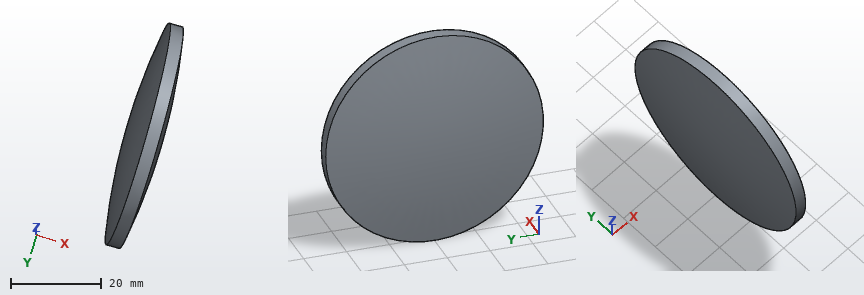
import cadquery as cq

diameter = 50.8
center_thickness = 7.8
edge_thickness = 3.0

rim_radius = diameter / 2
half_center = center_thickness / 2
half_edge = edge_thickness / 2
sag = half_center - half_edge
surface_radius = (rim_radius**2 + sag**2) / (2 * sag)


def spherical_face_point(height):
    """Point on the +X spherical face at the given distance from the axis."""
    sphere_center_x = half_center - surface_radius
    x = sphere_center_x + (surface_radius**2 - height**2) ** 0.5
    return x, height


def build_lens():
    """Revolve the upper half of the lens section about the X axis."""
    mid_x, mid_height = spherical_face_point(rim_radius / 2)
    section = (
        cq.Workplane("XY")
        .moveTo(-half_center, 0)
        .threePointArc((-mid_x, mid_height), (-half_edge, rim_radius))
        .lineTo(half_edge, rim_radius)
        .threePointArc((mid_x, mid_height), (half_center, 0))
        .close()
    )
    return section.revolve(360, (0, 0, 0), (1, 0, 0))


result = build_lens()